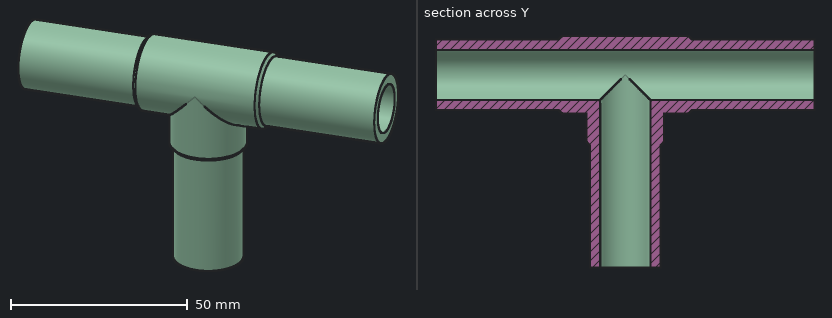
import cadquery as cq

run_length = 107.0
branch_length = 54.5
pipe_diameter = 20.0
body_diameter = 22.0
bore_diameter = 14.0
run_body_reach = 18.9
branch_body_reach = 20.0
body_chamfer = (body_diameter - pipe_diameter) / 2


def run_cylinder(diameter, length):
    """Cylinder along X, centred on the tee centre."""
    return cq.Workplane("YZ", origin=(-length / 2, 0, 0)).circle(diameter / 2).extrude(length)


def branch_cylinder(diameter, length):
    """Cylinder from the tee centre down along -Z."""
    return cq.Workplane("XY").circle(diameter / 2).extrude(-length)


run_body = run_cylinder(body_diameter, 2 * run_body_reach).faces("|X").chamfer(body_chamfer)
branch_body = branch_cylinder(body_diameter, branch_body_reach).faces("<Z").chamfer(body_chamfer)

run = run_body.union(run_cylinder(pipe_diameter, run_length))
branch = branch_body.union(branch_cylinder(pipe_diameter, branch_length))

run_bore = run_cylinder(bore_diameter, run_length)
branch_bore = branch_cylinder(bore_diameter, branch_length)

result = run.union(branch).cut(run_bore).cut(branch_bore)